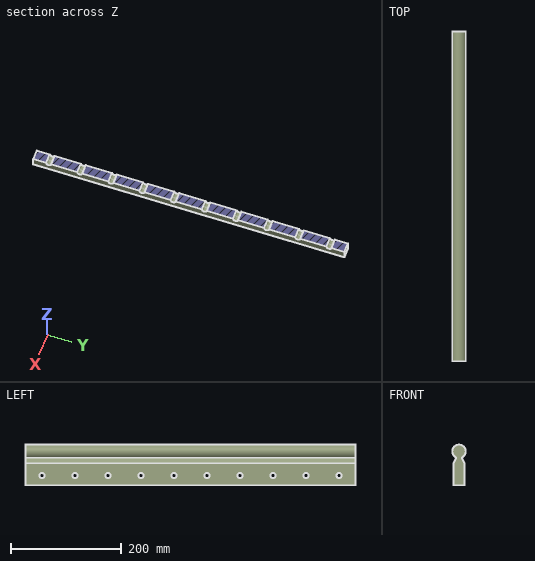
import cadquery as cq
import math

length = 600.0
height = 74.45

rod_diameter = 24.9
rod_radius = rod_diameter / 2
rod_center_z = height - rod_radius

rail_width = 20.0
rail_height = 40.4
shoulder_angle = 65.0
shoulder_overlap = 4.0

hole_diameter = 9.0
hole_count = 10
hole_pitch = length / hole_count
hole_z = 18.0


def make_rod():
    """Full-length rod, centred on the rail."""
    return (
        cq.Workplane("XZ")
        .center(0, rod_center_z)
        .circle(rod_radius)
        .extrude(length / 2, both=True)
    )


def make_rail():
    """Rectangular rail whose shoulders run up inside the bottom of the rod."""
    half_width = rail_width / 2
    top_z = rod_center_z - rod_radius + shoulder_overlap
    top_half_width = half_width - (top_z - rail_height) / math.tan(math.radians(shoulder_angle))
    return (
        cq.Workplane("XZ")
        .moveTo(-half_width, 0)
        .lineTo(half_width, 0)
        .lineTo(half_width, rail_height)
        .lineTo(top_half_width, top_z)
        .lineTo(-top_half_width, top_z)
        .lineTo(-half_width, rail_height)
        .close()
        .extrude(length / 2, both=True)
    )


def make_mounting_holes():
    """Evenly spaced cylinders that pass through the rail along X."""
    return (
        cq.Workplane("YZ")
        .center(0, hole_z)
        .rarray(hole_pitch, 1, hole_count, 1)
        .circle(hole_diameter / 2)
        .extrude(rail_width / 2, both=True)
    )


result = make_rail().union(make_rod()).cut(make_mounting_holes())